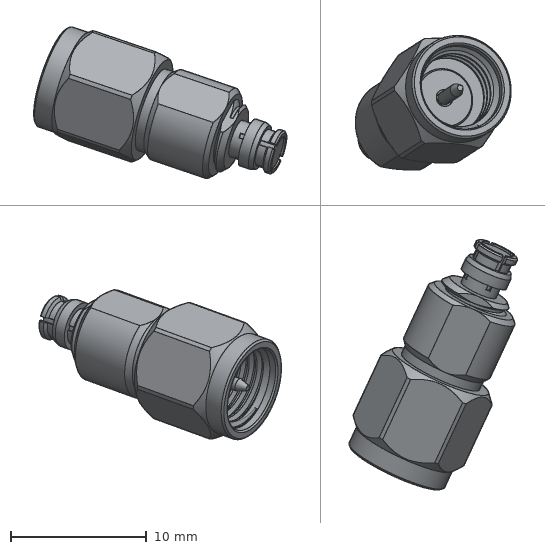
import cadquery as cq
import math

total_length = 18.0
collar_radius = 3.89
collar_edge = 0.15
hex_start = 1.51
hex_end = 7.88
hex_across_flats = 7.94
hex_corner_radius = 4.491
hex_cone_length = 0.7

flat_height = 3.17
body_start = 8.57
body_end = 13.75
body_radius = 3.51
body_chamfer = body_radius - flat_height
body_front_chamfer_length = 0.45

stub_end = 14.62
stub_radius = 2.75
stub_flat_height = 2.32
stub_chamfer = stub_radius - stub_flat_height

barrel_radius = 1.42
core_radius = 1.26
core_end = 17.85
ring_start = 15.55
ring_end = 16.72
ring_radius = 1.827
ring_chamfer_length = 0.36
ring_end_radius = 1.7
lip_start = 17.35
lip_radius = 1.67
lip_front_slope = 0.16
lip_chamfer = 0.13
slot_start = 15.12
slot_width = 0.36
slot_count = 4
slot_angle = 22.5

mouth_radius = 3.3
mouth_chamfer = 0.13
clearance_radius = mouth_radius - mouth_chamfer
thread_bore_radius = 2.79
lead_in_start = 0.65
thread_end = 3.2
cavity_floor = 3.9
relief_radius = 3.82
boss_base_radius = 2.23
boss_top_radius = 2.12
boss_height = 0.1

pin_tip = 0.43
pin_shoulder = 1.25
pin_radius = 0.49
pin_tip_radius = 0.22
pin_gap_radius = 0.63

thread_pitch = 0.705
flank_slope = math.tan(math.radians(30))
cutter_margin = 0.09
nut_root_radius = 3.13
nut_root_width = 0.15
stub_root_radius = 2.29
stub_root_width = 0.22
nut_groove_turns = 4
nut_groove_start = 0.67
nut_groove_angle = 210.0
stub_groove_turns = 1
stub_groove_end = 14.24
stub_groove_angle = 0.0


def revolve(points):
    """Turn an outline of (x, radius) points about the X axis."""
    return cq.Workplane("XY").polyline(points).close().revolve(360, (0, 0, 0), (1, 0, 0))


def cylinder(start, end, radius):
    return cq.Workplane("YZ", origin=(start, 0, 0)).circle(radius).extrude(end - start)


def slab(start, end, height):
    """Block that keeps only the material within +-height of the XY plane."""
    block = cq.Workplane("XY").box(end - start, 2 * body_radius, 2 * height)
    return block.translate(((start + end) / 2, 0, 0))


def helical_groove(start, angle, turns, root_width, root_radius, open_radius):
    """Right-hand trapezoidal groove running toward +X; angle is counted from +Z toward +Y."""
    length = turns * thread_pitch
    path = cq.Wire.makeHelix(thread_pitch, length, root_radius)
    half_root = root_width / 2
    half_open = half_root + abs(open_radius - root_radius) * flank_slope
    profile = cq.Workplane("XZ").polyline([
        (root_radius, -half_root),
        (root_radius, half_root),
        (open_radius, half_open),
        (open_radius, -half_open),
    ]).close()
    groove = profile.sweep(cq.Workplane(obj=path), isFrenet=True)
    groove = groove.rotate((0, 0, 0), (0, 1, 0), 90)
    return groove.rotate((0, 0, 0), (1, 0, 0), 180 - angle).translate((start, 0, 0))


def make_nut():
    collar = revolve([
        (0, 0),
        (0, collar_radius - collar_edge),
        (collar_edge, collar_radius),
        (hex_start, collar_radius),
        (hex_start, 0),
    ])
    hexagon = (
        cq.Workplane("YZ", origin=(hex_start, 0, 0))
        .polygon(6, hex_across_flats, circumscribed=True)
        .extrude(hex_end - hex_start)
        .rotate((0, 0, 0), (1, 0, 0), 30)
    )
    turned = revolve([
        (hex_start, 0),
        (hex_start, collar_radius),
        (hex_start + hex_cone_length, hex_corner_radius),
        (hex_end - hex_cone_length, hex_corner_radius),
        (hex_end, collar_radius),
        (hex_end, 0),
    ])
    return collar.union(hexagon.intersect(turned))


def make_body():
    neck = cylinder(hex_end, body_start, flat_height)
    body = revolve([
        (body_start, 0),
        (body_start, flat_height),
        (body_start + body_front_chamfer_length, body_radius),
        (body_end - body_chamfer, body_radius),
        (body_end, flat_height),
        (body_end, 0),
    ])
    return neck.union(body.intersect(slab(body_start, body_end, flat_height)))


def make_stub():
    stub = revolve([
        (body_end, 0),
        (body_end, stub_radius),
        (stub_end - stub_chamfer, stub_radius),
        (stub_end, stub_flat_height),
        (stub_end, 0),
    ])
    stub = stub.intersect(slab(body_end, stub_end, stub_flat_height))
    groove = helical_groove(
        start=stub_groove_end - stub_groove_turns * thread_pitch,
        angle=stub_groove_angle,
        turns=stub_groove_turns,
        root_width=stub_root_width,
        root_radius=stub_root_radius,
        open_radius=stub_radius + cutter_margin,
    )
    return stub.cut(groove)


def make_plug():
    barrel = cylinder(stub_end, lip_start, barrel_radius)
    lip = revolve([
        (lip_start, 0),
        (lip_start, barrel_radius),
        (lip_start + lip_front_slope, lip_radius),
        (total_length - lip_chamfer, lip_radius),
        (total_length, lip_radius - lip_chamfer),
        (total_length, 0),
    ])
    plug = barrel.union(lip)
    for index in range(slot_count):
        slot = (
            cq.Workplane("XY")
            .box(total_length - slot_start, lip_radius, slot_width)
            .translate(((slot_start + total_length) / 2, lip_radius / 2, 0))
            .rotate((0, 0, 0), (1, 0, 0), slot_angle + index * 360 / slot_count)
        )
        plug = plug.cut(slot)
    core = cylinder(slot_start, core_end, core_radius)
    end_recess = cylinder(core_end, total_length, core_radius)
    plug = plug.cut(end_recess).union(core)
    ring = revolve([
        (ring_start, core_radius),
        (ring_start, ring_radius),
        (ring_end - ring_chamfer_length, ring_radius),
        (ring_end, ring_end_radius),
        (ring_end, core_radius),
    ])
    return plug.union(ring)


def make_cavity():
    cone_length = clearance_radius - thread_bore_radius
    return revolve([
        (0, 0),
        (0, mouth_radius),
        (mouth_chamfer, clearance_radius),
        (lead_in_start, clearance_radius),
        (lead_in_start + cone_length, thread_bore_radius),
        (thread_end, thread_bore_radius),
        (thread_end, relief_radius),
        (cavity_floor, relief_radius),
        (cavity_floor, 0),
    ])


def make_nut_groove():
    return helical_groove(
        start=nut_groove_start,
        angle=nut_groove_angle,
        turns=nut_groove_turns,
        root_width=nut_root_width,
        root_radius=nut_root_radius,
        open_radius=thread_bore_radius - cutter_margin,
    )


def make_contact():
    boss = revolve([
        (cavity_floor, boss_base_radius),
        (cavity_floor - boss_height, boss_top_radius),
        (cavity_floor - boss_height, pin_gap_radius),
        (cavity_floor, pin_gap_radius),
    ])
    pin = revolve([
        (pin_tip, 0),
        (pin_tip, pin_tip_radius),
        (pin_shoulder, pin_radius),
        (cavity_floor, pin_radius),
        (cavity_floor, 0),
    ])
    return boss.union(pin)


result = make_nut().union(make_body()).union(make_stub()).union(make_plug())
result = result.cut(make_cavity()).cut(make_nut_groove()).union(make_contact())